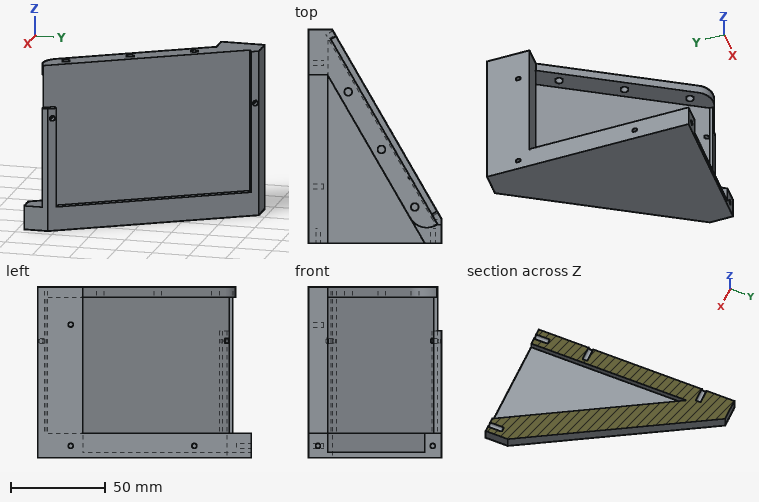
import cadquery as cq
import math

WIDTH = 70.0
DEPTH = 112.6
HEIGHT = 90.0

WALL_ANGLE = math.radians(60)
BACK_WIDTH = 12.5
SLOPE_RIB = 14.1
WEB_FACE = 4.3
WALL_END_Y = 9.8
WALL_END_WIDTH = 4.2
WALL_STEP_X = WIDTH - WALL_END_WIDTH

SIDE_RIB = 10.0
BASE_HEIGHT = 13.0
FLOOR = 3.0
POST_FRONT_Y = 88.8
LIP_THICKNESS = 5.5
LIP_BOTTOM = HEIGHT - LIP_THICKNESS
LIP_RADIUS = 10.0
LIP_TANGENT_Y = 13.3

RECESS_DEPTH = 3.3
RECESS_START = 4.0
RECESS_END = 110.5
LEDGE_HEIGHT = 67.0

SCREW_DIAMETER = 2.6
SCREW_DEPTH = 7.9
SCREW_HEIGHT = 6.3
FRONT_SCREW_X = [SIDE_RIB / 2, 65.4]
SIDE_SCREWS = [(95.1, SCREW_HEIGHT), (95.1, 70.1), (30.1, SCREW_HEIGHT)]
LIP_HOLE_DIAMETER = 4.0
LIP_HOLE_FIRST = 32.7
LIP_HOLE_PITCH = 35.0
LIP_HOLE_INSET = 9.1
LIP_HOLE_COUNT = 3
WEB_HOLE_DIAMETER = 2.7
WEB_HOLE_HEIGHT = 61.6
WEB_HOLE_ALONG = [1.9, 112.6]

CLEARANCE = 5.6
COS = math.cos(WALL_ANGLE)
SIN = math.sin(WALL_ANGLE)


def wall_point(along, inset):
    """XY point a distance along the slope from the rear, and inset from its face."""
    return (BACK_WIDTH + along * COS - inset * SIN, DEPTH - along * SIN - inset * COS)


def slope_y(x, inset):
    """Y at a given X on the line parallel to the slope at this inset."""
    start_x, start_y = wall_point(0, inset)
    return start_y - (x - start_x) * math.tan(WALL_ANGLE)


def slope_x(y, inset):
    """X at a given Y on the line parallel to the slope at this inset."""
    start_x, start_y = wall_point(0, inset)
    return start_x + (start_y - y) / math.tan(WALL_ANGLE)


def prism(points, bottom, top):
    """Upright solid with a polygonal outline."""
    return cq.Workplane("XY").workplane(offset=bottom).polyline(points).close().extrude(top - bottom)


def make_base():
    outline = [(0, 0), (WIDTH, 0), (WIDTH, slope_y(WIDTH, 0)), (BACK_WIDTH, DEPTH), (0, DEPTH)]
    pocket = [
        (SIDE_RIB, -CLEARANCE),
        (slope_x(-CLEARANCE, SLOPE_RIB), -CLEARANCE),
        (SIDE_RIB, slope_y(SIDE_RIB, SLOPE_RIB)),
    ]
    return prism(outline, 0, BASE_HEIGHT).cut(prism(pocket, FLOOR, BASE_HEIGHT))


def make_wall():
    """Corner post and thin web, with a square end at the right."""
    outline = [
        (0, POST_FRONT_Y),
        (SIDE_RIB, POST_FRONT_Y),
        (SIDE_RIB, slope_y(SIDE_RIB, WEB_FACE)),
        (WALL_STEP_X, slope_y(WALL_STEP_X, WEB_FACE)),
        (WALL_STEP_X, WALL_END_Y),
        (WIDTH, WALL_END_Y),
        (WIDTH, slope_y(WIDTH, 0)),
        (BACK_WIDTH, DEPTH),
        (0, DEPTH),
    ]
    return prism(outline, BASE_HEIGHT, HEIGHT)


def make_lip():
    """Top lip with a rounded nose tangent to its inner edge."""
    tangent_x = slope_x(LIP_TANGENT_Y, SLOPE_RIB)
    nose_x = tangent_x + LIP_RADIUS * SIN
    nose_y = LIP_TANGENT_Y + LIP_RADIUS * COS
    end_x = slope_x(WALL_END_Y, RECESS_DEPTH)
    end_y = nose_y - math.sqrt(LIP_RADIUS**2 - (end_x - nose_x) ** 2)
    return (
        cq.Workplane("XY").workplane(offset=LIP_BOTTOM)
        .moveTo(SIDE_RIB, slope_y(SIDE_RIB, SLOPE_RIB))
        .lineTo(tangent_x, LIP_TANGENT_Y)
        .threePointArc((nose_x, nose_y - LIP_RADIUS), (end_x, end_y))
        .lineTo(*wall_point(RECESS_END, RECESS_DEPTH))
        .lineTo(*wall_point(RECESS_START, RECESS_DEPTH))
        .lineTo(SIDE_RIB, slope_y(SIDE_RIB, WEB_FACE))
        .close().extrude(LIP_THICKNESS)
    )


def recess_cutter(start, end, bottom):
    """Slab cut into the sloping face between two distances along it."""
    outline = [
        wall_point(start, RECESS_DEPTH),
        wall_point(end, RECESS_DEPTH),
        wall_point(end, -CLEARANCE),
        wall_point(start, -CLEARANCE),
    ]
    return prism(outline, bottom, HEIGHT)


def cylinder(diameter, length, start, direction):
    return cq.Workplane(
        cq.Solid.makeCylinder(diameter / 2, length, cq.Vector(*start), cq.Vector(*direction))
    )


body = make_base().union(make_wall()).union(make_lip())

past_front_end = RECESS_END + 2 * CLEARANCE
body = body.cut(recess_cutter(RECESS_START, RECESS_END, BASE_HEIGHT))
body = body.cut(recess_cutter(RECESS_START, past_front_end, LEDGE_HEIGHT))

for x in FRONT_SCREW_X:
    body = body.cut(cylinder(SCREW_DIAMETER, SCREW_DEPTH, (x, 0, SCREW_HEIGHT), (0, 1, 0)))
for y, z in SIDE_SCREWS:
    body = body.cut(cylinder(SCREW_DIAMETER, SCREW_DEPTH, (0, y, z), (1, 0, 0)))

for index in range(LIP_HOLE_COUNT):
    x, y = wall_point(LIP_HOLE_FIRST + index * LIP_HOLE_PITCH, LIP_HOLE_INSET)
    body = body.cut(cylinder(LIP_HOLE_DIAMETER, LIP_THICKNESS, (x, y, LIP_BOTTOM), (0, 0, 1)))

for along in WEB_HOLE_ALONG:
    x, y = wall_point(along, WEB_FACE)
    start = (x, y, WEB_HOLE_HEIGHT)
    body = body.cut(cylinder(WEB_HOLE_DIAMETER, WEB_FACE + CLEARANCE, start, (SIN, COS, 0)))

result = body